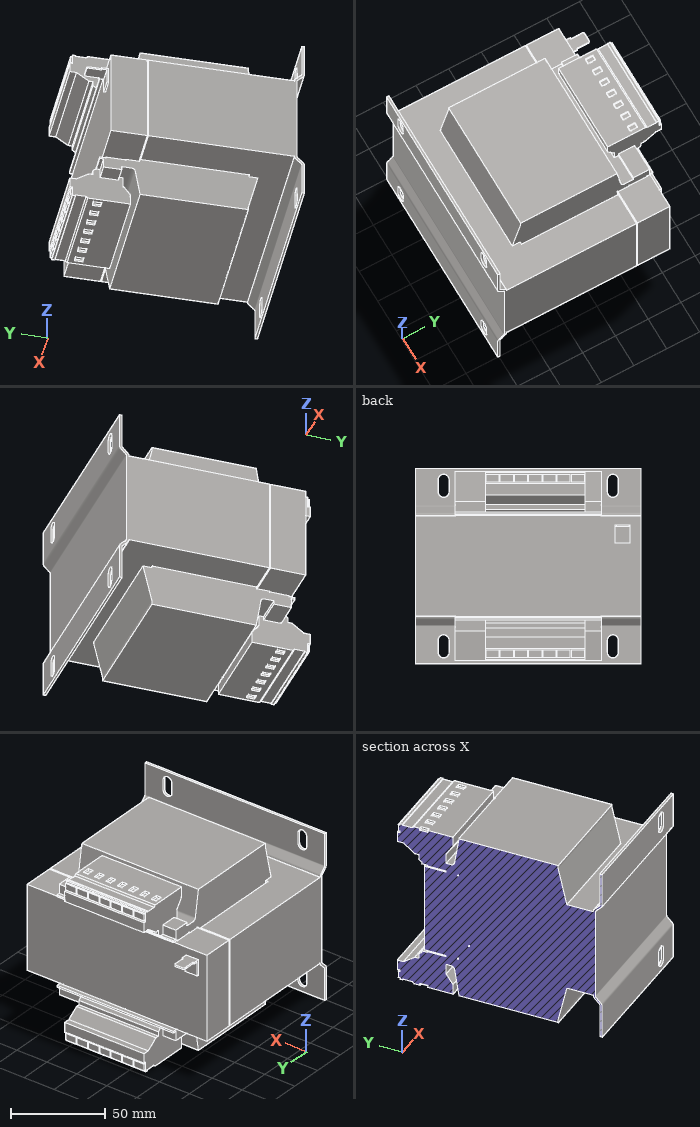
import cadquery as cq
import math

core_width = 120.0
core_half_height = 26.8
core_front = 5.5
core_back = 105.3
window_width = 80.8
window_front = 25.7
joint_y = 85.2
joint_gap = 0.5
joint_depth = 0.4

sheet = 1.5
plate_height = 104.0
plate_half_height = plate_height / 2
bend_start = 32.1
bend_inner_radius = 1.0
bend_angle = 45
slot_width = 5.7
slot_length = 12.1
slot_x = 45.0
slot_z = 42.7

bobbin_width = 77.8
bobbin_top = 50.2
bobbin_front = 20.9
bobbin_top_front = 26.0
bobbin_shoulder = 48.2
bobbin_top_back = 84.9
neck_y = 87.8
neck_radius = 2.0
floor_z = 32.4
saddle_front = 94.9
saddle_back = 104.8
saddle_top = 34.5
foot_back = 106.9
foot_front = 103.5
foot_top = 28.7
foot_bottom = 27.7
relief_front = 92.5
relief_top = 27.2

terminal_count = 7
strip_width = 53.0
strip_left = -30.2
terminal_pitch = strip_width / terminal_count
strip_front = 88.3
strip_back = 121.3
strip_top = bobbin_top
strip_heel = 92.3
strip_heel_top = 38.2
strip_front_bottom = 43.8
ledge_front = 111.5
ledge_bevel = 1.0
ledge_z = 49.2
rim_front = 118.1
rim_top = 49.7
lip_top = 43.9
lip_bottom = 37.7
lip_front = 117.7
step_slope_end = 110.9
step_z = 32.9
step_y = 108.7
step_bottom = 30.2
step_bevel = 1.0
marker_face = 119.8
marker_gap = 0.6
marker_width = terminal_pitch - marker_gap
marker_reach = 1.0
marker_bottom = 44.6
marker_top = 48.8
opening_width = 3.0
opening_length = 4.5
opening_y = 105.7
opening_depth = 1.2

tab_x = -50.2
tab_base_width = 8.0
tab_blade_width = 6.5
tab_sheet = 1.0
tab_bottom = 12.3
tab_top = 22.0
tab_shoulder = 109.0
tab_tip = 116.9
tab_corner = 1.0


def extrude_profile(points, left, width):
    """Extrude a closed (Y, Z) outline along X, starting at X = left."""
    return cq.Workplane("YZ", origin=(left, 0, 0)).polyline(points).close().extrude(width)


def centred_profile(points, width):
    return extrude_profile(points, -width / 2, width)


def block(width, y_range, z_range, x=0):
    """Box centred on x, between two Y and two Z limits."""
    y_low, y_high = y_range
    z_low, z_high = z_range
    return cq.Workplane("XY").box(width, y_high - y_low, z_high - z_low).translate(
        (x, (y_low + y_high) / 2, (z_low + z_high) / 2)
    )


def make_core():
    height = (-core_half_height, core_half_height)
    core = block(core_width, (core_front, core_back), height)
    core = core.cut(block(window_width, (window_front, joint_y), height))
    joint = (joint_y - joint_gap / 2, joint_y + joint_gap / 2)
    ring = block(core_width, joint, height)
    inside_half_height = core_half_height - joint_depth
    ring = ring.cut(block(core_width - 2 * joint_depth, joint, (-inside_half_height, inside_half_height)))
    return core.cut(ring)


def bend_point(centre, radius, degrees):
    """Point on a bend, at an angle counted from the +Y direction towards +Z."""
    y, z = centre
    angle = math.radians(degrees)
    return (y + radius * math.cos(angle), z + radius * math.sin(angle))


def make_flange():
    """Upper flange with the two opposite bends that lead to the flat web."""
    outer_radius = bend_inner_radius + sheet
    flange_bend = (outer_radius, bend_start)
    web_bend_y = core_front - outer_radius
    slope = math.radians(bend_angle)
    centre_shift = web_bend_y - flange_bend[0]
    radius_sum = bend_inner_radius + outer_radius
    drop = (radius_sum + centre_shift * math.cos(slope)) / math.sin(slope)
    web_bend = (web_bend_y, bend_start - drop)

    flange_end = 180 + bend_angle
    flange_middle = 180 + bend_angle / 2
    return (
        cq.Workplane("YZ", origin=(-core_width / 2, 0, 0))
        .moveTo(core_front, 0)
        .lineTo(core_front, web_bend[1])
        .threePointArc(
            bend_point(web_bend, outer_radius, bend_angle / 2),
            bend_point(web_bend, outer_radius, bend_angle),
        )
        .lineTo(*bend_point(flange_bend, bend_inner_radius, flange_end))
        .threePointArc(
            bend_point(flange_bend, bend_inner_radius, flange_middle),
            (sheet, bend_start),
        )
        .lineTo(sheet, plate_half_height)
        .lineTo(0, plate_half_height)
        .lineTo(0, bend_start)
        .threePointArc(
            bend_point(flange_bend, outer_radius, flange_middle),
            bend_point(flange_bend, outer_radius, flange_end),
        )
        .lineTo(*bend_point(web_bend, bend_inner_radius, bend_angle))
        .threePointArc(
            bend_point(web_bend, bend_inner_radius, bend_angle / 2),
            (core_front - sheet, web_bend[1]),
        )
        .lineTo(core_front - sheet, 0)
        .close()
        .extrude(core_width)
    )


def make_plate():
    flange = make_flange()
    plate = flange.union(flange.mirror("XY"))
    slot_points = [(x, z) for x in (-slot_x, slot_x) for z in (-slot_z, slot_z)]
    slots = (
        cq.Workplane("XZ")
        .pushPoints(slot_points)
        .slot2D(slot_length, slot_width, 90)
        .extrude(-sheet)
    )
    return plate.cut(slots)


def make_winding():
    """Winding body that fills the core window."""
    return block(bobbin_width, (window_front, joint_y), (-core_half_height, core_half_height))


def make_bobbin_end():
    """Upper half of the bobbin, standing on the core."""
    outline = [
        (bobbin_front, core_half_height),
        (bobbin_top_front, bobbin_shoulder),
        (bobbin_top_front, bobbin_top),
        (bobbin_top_back, bobbin_top),
        (neck_y, floor_z),
        (saddle_front, floor_z),
        (saddle_front, saddle_top),
        (saddle_back, saddle_top),
        (saddle_back, foot_top),
        (foot_back, foot_top),
        (foot_back, foot_bottom),
        (foot_front, foot_bottom),
        (foot_front, relief_top),
        (relief_front, relief_top),
        (relief_front, core_half_height),
    ]
    neck = cq.selectors.NearestToPointSelector((0, neck_y, floor_z))
    return centred_profile(outline, bobbin_width).edges(neck).fillet(neck_radius)


def make_terminal_strip():
    """Upper terminal strip with its marker tabs and screwdriver openings."""
    outline = [
        (strip_heel, foot_top),
        (strip_heel, strip_heel_top),
        (strip_front, strip_front_bottom),
        (strip_front, strip_top),
        (ledge_front, strip_top),
        (ledge_front + ledge_bevel, ledge_z),
        (rim_front, ledge_z),
        (rim_front, rim_top),
        (marker_face, rim_top),
        (marker_face, lip_top),
        (strip_back, lip_top),
        (strip_back, lip_bottom),
        (lip_front, lip_bottom),
        (step_slope_end, step_z),
        (step_y, step_z),
        (step_y, step_bottom),
        (step_y - step_bevel, step_bottom - step_bevel),
        (foot_back, foot_top),
    ]
    strip = extrude_profile(outline, strip_left, strip_width)
    for index in range(terminal_count):
        x = strip_left + (index + 0.5) * terminal_pitch
        marker = block(
            marker_width, (marker_face, marker_face + marker_reach), (marker_bottom, marker_top), x
        )
        opening = block(
            opening_width,
            (opening_y - opening_length / 2, opening_y + opening_length / 2),
            (strip_top - opening_depth, strip_top),
            x,
        )
        strip = strip.union(marker).cut(opening)
    return strip


def make_earth_tab():
    leg = block(tab_base_width, (core_back, core_back + tab_sheet), (tab_bottom, tab_top), tab_x)
    blade_height = (tab_top - tab_sheet, tab_top)
    base = block(tab_base_width, (core_back, tab_shoulder), blade_height, tab_x)
    blade = block(tab_blade_width, (core_back, tab_tip), blade_height, tab_x)
    blade = blade.edges("|Z and >Y").fillet(tab_corner)
    return leg.union(base).union(blade)


upper_end = make_bobbin_end().union(make_terminal_strip())
lower_end = upper_end.mirror("XY")

result = (
    make_core()
    .union(make_plate())
    .union(make_winding())
    .union(upper_end)
    .union(lower_end)
    .union(make_earth_tab())
)